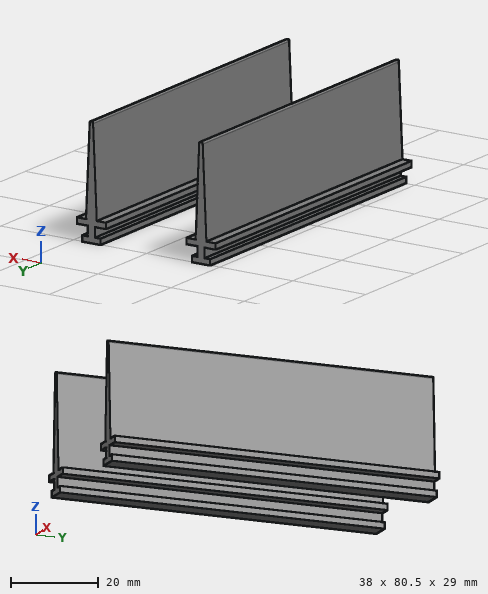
import cadquery as cq

rail_length = 80.5
rail_spacing = 30.0
total_height = 29.0

foot_width = 5.0
foot_height = 1.5
neck_width = 2.0
neck_height = 2.5
flange_width = 8.0
flange_height = 1.5
blade_root_width = 3.0
blade_tip_width = 1.0

neck_bottom = foot_height
flange_bottom = neck_bottom + neck_height
blade_bottom = flange_bottom + flange_height
tip_radius = blade_tip_width / 2
tip_shoulder = total_height - tip_radius


def make_rail(x_center):
    """Finned rail: foot, neck, flange and a tapered blade with a fully rounded tip."""
    right_side = [
        (foot_width / 2, 0),
        (foot_width / 2, neck_bottom),
        (neck_width / 2, neck_bottom),
        (neck_width / 2, flange_bottom),
        (flange_width / 2, flange_bottom),
        (flange_width / 2, blade_bottom),
        (blade_root_width / 2, blade_bottom),
        (tip_radius, tip_shoulder),
    ]
    left_side = [(-x, z) for x, z in reversed(right_side)]
    return (
        cq.Workplane("XZ")
        .polyline(right_side)
        .threePointArc((0, total_height), left_side[0])
        .polyline(left_side[1:], includeCurrent=True)
        .close()
        .extrude(rail_length / 2, both=True)
        .translate((x_center, 0, 0))
    )


rails = [make_rail(side * rail_spacing / 2) for side in (-1, 1)]

result = cq.Compound.makeCompound([rail.val() for rail in rails])